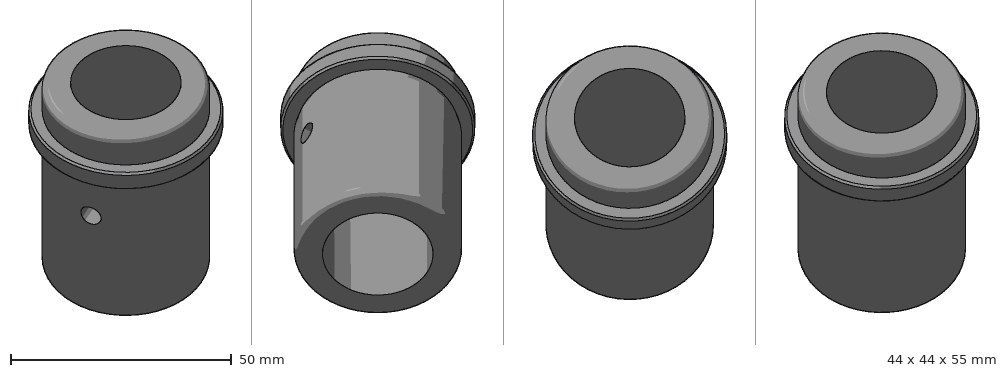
import cadquery as cq

height = 55.0
body_radius = 38.0 / 2
bore_radius = 25.0 / 2
edge_radius = 2.0

flange_radius = 44.0 / 2
flange_thickness = 5.0
flange_top = height - 8.0
flange_bottom = flange_top - flange_thickness
flange_chamfer = 0.5

relief_height = 2.0
relief_depth = 0.55

hole_diameter = 5.0
hole_z = height - 25.0


def make_body():
    """Sleeve with rounded ends and a tapered relief under the flange."""
    sleeve = cq.Workplane("XY").circle(body_radius).extrude(height)
    sleeve = sleeve.edges().fillet(edge_radius)
    relief = (
        cq.Workplane("XZ")
        .moveTo(body_radius, flange_bottom - relief_height)
        .lineTo(body_radius - relief_depth, flange_bottom)
        .lineTo(body_radius, flange_bottom)
        .close()
        .revolve(360, (0, 0, 0), (0, 1, 0))
    )
    return sleeve.cut(relief)


def make_flange():
    """Collar with both outer edges chamfered."""
    collar = cq.Workplane("XY").workplane(offset=flange_bottom)
    collar = collar.circle(flange_radius).extrude(flange_thickness)
    return collar.edges().chamfer(flange_chamfer)


def make_bore():
    return cq.Workplane("XY").circle(bore_radius).extrude(height)


def make_side_hole():
    """Radial hole from the -Y side into the bore."""
    return (
        cq.Workplane("XZ")
        .center(0, hole_z)
        .circle(hole_diameter / 2)
        .extrude(body_radius)
    )


result = make_body().union(make_flange()).cut(make_bore()).cut(make_side_hole())